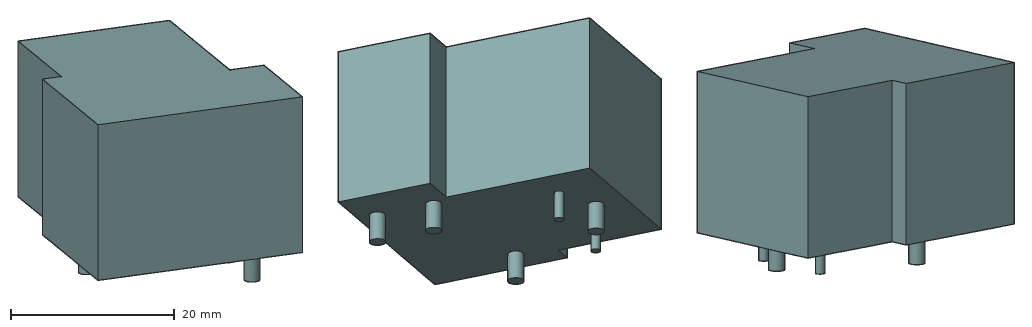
import cadquery as cq

body_length = 32.0
main_width = 20.0
body_height = 20.2
front_tab_depth = 2.5
front_tab_start = 14.0
back_tab_depth = 4.5
back_tab_start = 19.5

pin_length = 3.6
contact_pin_diameter = 2.0
coil_pin_diameter = 1.2

common_pin_x = 4.0
coil_pin_offset = 2.54
front_contact_offset = 15.2
back_contact_offsets = (17.74, 25.38)
coil_pin_spacing = 10.2
front_row_offset = 8.8
back_row_offset = 8.89

main_front_y = front_tab_depth
main_back_y = main_front_y + main_width
center_y = main_front_y + main_width / 2
body_back_y = main_back_y + back_tab_depth


def make_housing():
    """Stepped outline extruded up from the mounting plane at Z = 0."""
    outline = [
        (0, main_front_y),
        (front_tab_start, main_front_y),
        (front_tab_start, 0),
        (body_length, 0),
        (body_length, body_back_y),
        (back_tab_start, body_back_y),
        (back_tab_start, main_back_y),
        (0, main_back_y),
    ]
    return cq.Workplane("XY").polyline(outline).close().extrude(body_height)


def make_pins(positions, diameter):
    """Round pins hanging down from the mounting plane."""
    return cq.Workplane("XY").pushPoints(positions).circle(diameter / 2).extrude(-pin_length)


coil_pin_x = common_pin_x + coil_pin_offset
coil_positions = [(coil_pin_x, center_y + side * coil_pin_spacing / 2) for side in (-1, 1)]

front_row_y = center_y - front_row_offset
back_row_y = center_y + back_row_offset
contact_positions = [
    (common_pin_x, center_y),
    (common_pin_x + front_contact_offset, front_row_y),
]
for offset in back_contact_offsets:
    contact_positions.append((common_pin_x + offset, back_row_y))

result = (
    make_housing()
    .union(make_pins(contact_positions, contact_pin_diameter))
    .union(make_pins(coil_positions, coil_pin_diameter))
)